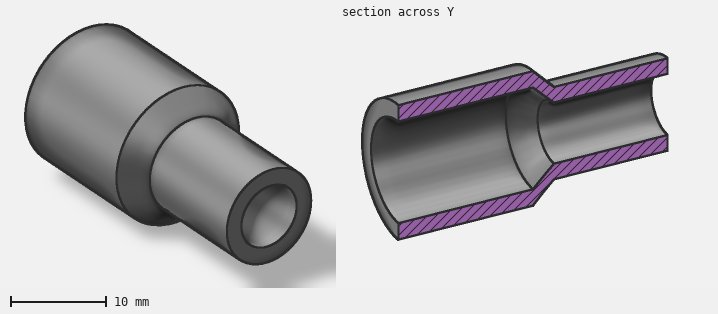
import cadquery as cq

total_length = 32.0
socket_length = 16.0
socket_outer_radius = 16.0 / 2
socket_bore_radius = 12.0 / 2
spigot_outer_radius = 11.0 / 2
spigot_bore_radius = 7.2 / 2

shoulder_end = socket_length + socket_outer_radius - spigot_outer_radius


def stepped_body(socket_radius, spigot_radius):
    """Solid of revolution about X that narrows along the shoulder."""
    return (
        cq.Workplane("XY")
        .polyline([
            (0, 0),
            (0, socket_radius),
            (socket_length, socket_radius),
            (shoulder_end, spigot_radius),
            (total_length, spigot_radius),
            (total_length, 0),
        ])
        .close()
        .revolve(360, (0, 0, 0), (1, 0, 0))
    )


outside = stepped_body(socket_outer_radius, spigot_outer_radius)
bore = stepped_body(socket_bore_radius, spigot_bore_radius)

result = outside.cut(bore)